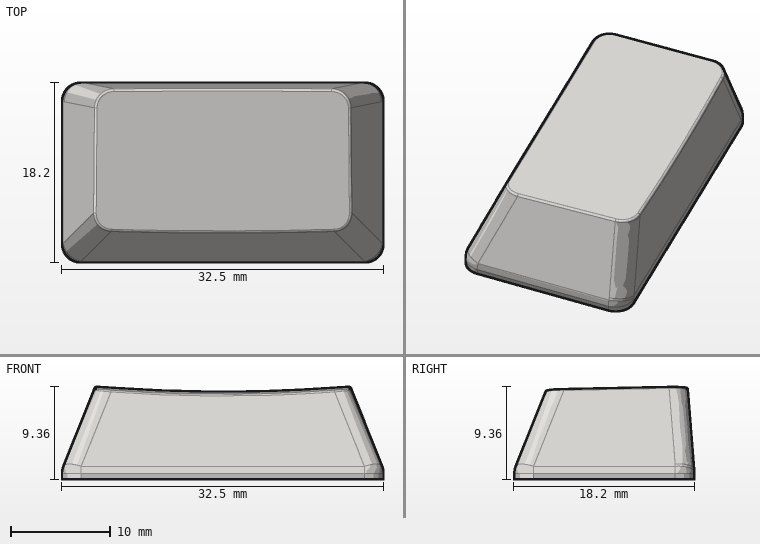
import cadquery as cq

length = 32.45
width = 18.17
skirt_height = 0.97

side_slope = 0.4
front_slope = 0.4
back_slope = 0.08
blank_height = 10.4
wall_blend_radius = 1.95

dish_radius = 155.75
dish_bottom_height = 8.7
dish_tilt = 1.2
rim_radius = 0.25


def make_skirt():
    return cq.Workplane("XY").rect(length, width).extrude(skirt_height)


def make_tapered_walls():
    rise = blank_height - skirt_height
    top_length = length - 2 * side_slope * rise
    top_width = width - (front_slope + back_slope) * rise
    top_center = (front_slope - back_slope) * rise / 2
    return (
        cq.Workplane("XY", origin=(0, 0, skirt_height))
        .rect(length, width)
        .workplane(offset=rise)
        .center(0, top_center)
        .rect(top_length, top_width)
        .loft(ruled=True)
    )


def make_dish_cutter():
    return (
        cq.Workplane("XZ")
        .center(0, dish_bottom_height + dish_radius)
        .circle(dish_radius)
        .extrude(width, both=True)
        .rotate((0, 0, dish_bottom_height), (1, 0, dish_bottom_height), dish_tilt)
    )


def blend_walls(body):
    """Round the corner edges and the bend above the skirt, leaving top and bottom sharp."""
    return body.edges("not(<Z or >Z)").fillet(wall_blend_radius)


body = blend_walls(make_skirt().union(make_tapered_walls()))
dished = body.cut(make_dish_cutter())
result = dished.faces(">Z").edges().fillet(rim_radius)